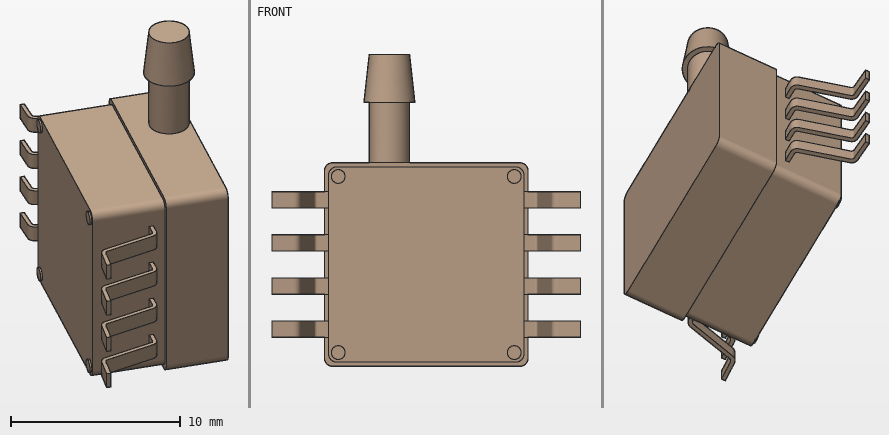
import cadquery as cq
import math

REAR_SIDE = 12.02
REAR_DEPTH = 3.81
FRONT_SIDE = 11.52
FRONT_DEPTH = 4.45
CORNER_RADIUS = 0.5

FOOT_RADIUS = 0.4
FOOT_HEIGHT = 0.11
FOOT_OFFSET = 5.2

PORT_X = -2.17
PORT_Y = 2.55
TOTAL_HEIGHT = 18.41
PORT_HEIGHT = TOTAL_HEIGHT - REAR_SIDE
PORT_RADIUS = 1.2
BARB_RADIUS = 1.51
BARB_HEIGHT = 2.84

LEADS_PER_SIDE = 4
LEAD_PITCH = 2.54
LEAD_WIDTH = 0.98
LEAD_THICKNESS = 0.25
LEAD_SPAN = 18.2
LEAD_SHOULDER_Y = -0.72
LEAD_SHOULDER_X = 6.65
LEG_ANGLE = 75.0
SOLE_ANGLE = 3.5
BEND_INNER_RADIUS = 0.18
BEND_OUTER_RADIUS = BEND_INNER_RADIUS + LEAD_THICKNESS

FRONT_FACE_Y = -FRONT_DEPTH
FOOT_FACE_Y = FRONT_FACE_Y - FOOT_HEIGHT


def make_block(side, depth, front_y):
    """Square block with rounded edges along Y, reaching from front_y to front_y + depth."""
    return (
        cq.Workplane("XZ", origin=(0, front_y, 0))
        .rect(side, side)
        .extrude(-depth)
        .edges("|Y")
        .fillet(CORNER_RADIUS)
    )


def make_feet():
    """Four round feet at the corners of the front face."""
    return (
        cq.Workplane("XZ", origin=(0, FRONT_FACE_Y, 0))
        .rect(2 * FOOT_OFFSET, 2 * FOOT_OFFSET, forConstruction=True)
        .vertices()
        .circle(FOOT_RADIUS)
        .extrude(FOOT_HEIGHT)
    )


def make_port():
    """Straight stem with a conical barb at its end, revolved about the port axis."""
    barb_start = PORT_HEIGHT - BARB_HEIGHT
    return (
        cq.Workplane("XZ", origin=(PORT_X, PORT_Y, REAR_SIDE / 2))
        .moveTo(0, 0)
        .lineTo(PORT_RADIUS, 0)
        .lineTo(PORT_RADIUS, barb_start)
        .lineTo(BARB_RADIUS, barb_start)
        .lineTo(PORT_RADIUS, PORT_HEIGHT)
        .lineTo(0, PORT_HEIGHT)
        .close()
        .revolve(360, (0, 0), (0, 1))
    )


def make_housing():
    rear = make_block(REAR_SIDE, REAR_DEPTH, 0)
    front = make_block(FRONT_SIDE, FRONT_DEPTH, FRONT_FACE_Y)
    return rear.union(front).union(make_feet()).union(make_port())


def lead_corners():
    """Rear and front outline points of the +X lead, (x, y), from the housing wall to the tip."""
    half = LEAD_THICKNESS / 2
    leg = math.radians(LEG_ANGLE)
    sole = math.radians(SOLE_ANGLE)
    shoulder_y = LEAD_SHOULDER_Y - half

    tip_x = LEAD_SPAN / 2 - half * math.sin(sole)
    tip_y = FOOT_FACE_Y + half * math.cos(sole)

    run = tip_x - LEAD_SHOULDER_X
    drop = shoulder_y - tip_y
    leg_run = (drop - run * math.tan(sole)) / (math.tan(leg) - math.tan(sole))
    ankle_x = LEAD_SHOULDER_X + leg_run
    ankle_y = shoulder_y - leg_run * math.tan(leg)

    stations = [
        (FRONT_SIDE / 2, shoulder_y, 0, 0),
        (LEAD_SHOULDER_X, shoulder_y, 0, leg),
        (ankle_x, ankle_y, leg, sole),
        (tip_x, tip_y, sole, sole),
    ]
    rear = []
    front = []
    for x, y, before, after in stations:
        mitre_angle = (before + after) / 2
        mitre = half / math.cos((after - before) / 2)
        dx = mitre * math.sin(mitre_angle)
        dy = mitre * math.cos(mitre_angle)
        rear.append((x + dx, y + dy))
        front.append((x - dx, y - dy))
    return rear, front


def make_lead(z):
    """Lead on the +X side, centred at height z, ending flush on the housing wall."""
    rear, front = lead_corners()
    strip = (
        cq.Workplane("XY", origin=(0, 0, z - LEAD_WIDTH / 2))
        .polyline(rear + front[::-1])
        .close()
        .extrude(LEAD_WIDTH)
    )
    bends = [
        (rear[1], BEND_OUTER_RADIUS),
        (front[1], BEND_INNER_RADIUS),
        (rear[2], BEND_INNER_RADIUS),
        (front[2], BEND_OUTER_RADIUS),
    ]
    for (x, y), radius in bends:
        bend_edge = strip.edges(cq.selectors.NearestToPointSelector((x, y, z)))
        strip = bend_edge.fillet(radius)
    return strip


housing = make_housing()

leads = []
for row in range(LEADS_PER_SIDE):
    row_z = (row - (LEADS_PER_SIDE - 1) / 2) * LEAD_PITCH
    right_lead = make_lead(row_z)
    leads.append(right_lead.val())
    leads.append(right_lead.mirror("YZ").val())

result = cq.Compound.makeCompound([housing.val(), *leads])